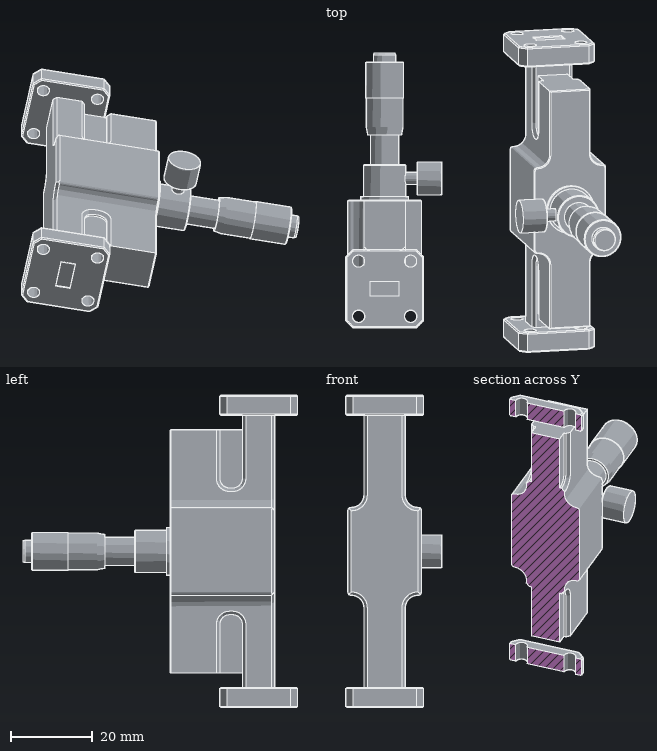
import cadquery as cq

OVERALL_HEIGHT = 76.2

FLANGE_SIZE = 19.05
FLANGE_THICKNESS = 4.9
FLANGE_CORNER = 1.75
FLANGE_EDGE = 0.3
BOLT_DIAMETER = 2.95
BOLT_SPACING_X = 12.7
BOLT_SPACING_Y = 13.46
PORT_WIDTH = 7.11
PORT_HEIGHT = 3.56
PORT_DEPTH = 0.3

ARM_WIDTH = 10.16
FRONT_Y = -3.96
ARM_BACK_Y = -FRONT_Y
BODY_BACK_Y = 21.65
PLATE_HEIGHT = 59.4
BLOCK_WIDTH = 18.0
BLOCK_HEIGHT = 21.5
COVE_RADIUS = 3.0
BLOCK_CORNER_RADIUS = 0.85
EDGE_CHAMFER = 0.85
BACK_CHAMFER = 0.25

POCKET_WIDTH = 5.5
POCKET_END_Z = 15.45
POCKET_CORNER_RADIUS = 2.4
POCKET_WALL = 0.5
POCKET_DEPTH = EDGE_CHAMFER + POCKET_WALL

SEAT_RADIUS = 5.85
SEAT_END_Y = 22.5
COLLAR_RADIUS = 5.2
COLLAR_END_Y = 30.25
SLEEVE_RADIUS = 3.5
THIMBLE_START_Y = 37.5
THIMBLE_NOSE_RADIUS = 4.15
THIMBLE_TAPER_END_Y = 39.35
THIMBLE_RADIUS = 4.5
GRIP_START_Y = 46.5
GRIP_RADIUS = 4.63
GRIP_END_Y = 55.35
CAP_RADIUS = 2.75
CAP_END_Y = 57.525
CAP_EDGE_LENGTH = 0.5
CAP_EDGE_DEPTH = 0.2
MICROMETER_CHAMFER = 0.2
SEAT_OVERLAP = 1.0

SCREW_Y = 26.9
SCREW_RADIUS = 1.52
KNOB_RADIUS = 4.05
KNOB_START_X = 7.85
KNOB_END_X = 13.975
KNOB_CHAMFER = 0.2
KNOB_EDGE_LENGTH = 0.45
KNOB_EDGE_DEPTH = 0.08

ARM_END_Z = (OVERALL_HEIGHT - FLANGE_THICKNESS) / 2
FLANGE_INNER_Z = OVERALL_HEIGHT / 2 - FLANGE_THICKNESS


def box_between(x_size, y_min, y_max, z_size):
    """Box centred on X and Z, spanning y_min to y_max."""
    return cq.Workplane("XY").box(x_size, y_max - y_min, z_size).translate((0, (y_min + y_max) / 2, 0))


def body_blank():
    """Extruded X-Z outline of the arm and the central block, with coves between them."""
    arm_x = ARM_WIDTH / 2
    block_x = BLOCK_WIDTH / 2
    block_z = BLOCK_HEIGHT / 2
    quarter = (
        cq.Workplane("XZ", origin=(0, FRONT_Y, 0))
        .lineTo(0, ARM_END_Z)
        .lineTo(arm_x, ARM_END_Z)
        .lineTo(arm_x, block_z + COVE_RADIUS)
        .radiusArc((arm_x + COVE_RADIUS, block_z), -COVE_RADIUS)
        .lineTo(block_x, block_z)
        .lineTo(block_x, 0)
        .close()
        .extrude(FRONT_Y - BODY_BACK_Y)
    )
    half = quarter.union(quarter.mirror("YZ"))
    return half.union(half.mirror("XY")).clean()


def pocket_outline(plane_x, margin):
    """Rounded slot outline in Y-Z, grown by margin, open toward +Z past the plate end."""
    y_min = ARM_BACK_Y - margin
    y_max = ARM_BACK_Y + POCKET_WIDTH + margin
    z_min = POCKET_END_Z - margin
    radius = POCKET_CORNER_RADIUS + margin
    return (
        cq.Workplane("YZ", origin=(plane_x, 0, 0))
        .moveTo(y_min, FLANGE_INNER_Z)
        .lineTo(y_min, z_min + radius)
        .radiusArc((y_min + radius, z_min), -radius)
        .lineTo(y_max - radius, z_min)
        .radiusArc((y_max, z_min + radius), -radius)
        .lineTo(y_max, FLANGE_INNER_Z)
        .close()
    )


def make_pocket():
    """Upper pocket on the +X side: straight wall at the floor, 45 degree flare at the mouth.

    It runs up to the flange, so the flare also bevels the back edge of the arm.
    """
    mouth_x = ARM_WIDTH / 2
    floor_x = mouth_x - POCKET_DEPTH
    wall = pocket_outline(floor_x, 0).extrude(POCKET_DEPTH)
    flare = cq.Workplane(
        cq.Solid.makeLoft(
            [
                pocket_outline(mouth_x - EDGE_CHAMFER, 0).val(),
                pocket_outline(mouth_x, EDGE_CHAMFER).val(),
            ],
            True,
        )
    )
    return wall.union(flare)


def make_body():
    """Arm, plate and block in one piece, with the arm standing free beyond the plate ends."""
    body = body_blank().faces("<Y").edges().chamfer(EDGE_CHAMFER)
    body = body.faces("<X or >X").edges("|Y").fillet(BLOCK_CORNER_RADIUS)

    gap_height = ARM_END_Z - PLATE_HEIGHT / 2
    gap = box_between(BLOCK_WIDTH, ARM_BACK_Y, BODY_BACK_Y, gap_height)
    gap_z = PLATE_HEIGHT / 2 + gap_height / 2
    for side in (-1, 1):
        body = body.cut(gap.translate((0, 0, side * gap_z)))
    body = body.faces(">Y").edges().chamfer(BACK_CHAMFER)

    pocket = make_pocket()
    pockets = pocket.union(pocket.mirror("YZ"))
    return body.cut(pockets).cut(pockets.mirror("XY"))


def make_flange(side):
    """Flange at the upper (side = 1) or lower (side = -1) end of the arm."""
    center_z = side * ARM_END_Z
    flange = (
        cq.Workplane("XY")
        .box(FLANGE_SIZE, FLANGE_SIZE, FLANGE_THICKNESS)
        .edges("|Z")
        .chamfer(FLANGE_CORNER)
        .faces("<Z or >Z")
        .chamfer(FLANGE_EDGE)
        .faces(">Z")
        .workplane()
        .rarray(BOLT_SPACING_X, BOLT_SPACING_Y, 2, 2)
        .hole(BOLT_DIAMETER)
    )
    port = cq.Workplane("XY").box(PORT_WIDTH, PORT_HEIGHT, 2 * PORT_DEPTH)
    flange = flange.cut(port.translate((0, 0, side * FLANGE_THICKNESS / 2)))
    return flange.translate((0, 0, center_z))


def make_micrometer():
    """Micrometer head turned about the Y axis, seated on the back of the body."""
    profile = (
        cq.Workplane("XY")
        .moveTo(0, BODY_BACK_Y - SEAT_OVERLAP)
        .lineTo(SEAT_RADIUS, BODY_BACK_Y - SEAT_OVERLAP)
        .lineTo(SEAT_RADIUS, SEAT_END_Y)
        .lineTo(COLLAR_RADIUS, SEAT_END_Y)
        .lineTo(COLLAR_RADIUS, COLLAR_END_Y - MICROMETER_CHAMFER)
        .lineTo(COLLAR_RADIUS - MICROMETER_CHAMFER, COLLAR_END_Y)
        .lineTo(SLEEVE_RADIUS, COLLAR_END_Y)
        .lineTo(SLEEVE_RADIUS, THIMBLE_START_Y)
        .lineTo(THIMBLE_NOSE_RADIUS, THIMBLE_START_Y)
        .lineTo(THIMBLE_RADIUS, THIMBLE_TAPER_END_Y)
        .lineTo(THIMBLE_RADIUS, GRIP_START_Y)
        .lineTo(GRIP_RADIUS, GRIP_START_Y)
        .lineTo(GRIP_RADIUS, GRIP_END_Y - MICROMETER_CHAMFER)
        .lineTo(GRIP_RADIUS - MICROMETER_CHAMFER, GRIP_END_Y)
        .lineTo(CAP_RADIUS, GRIP_END_Y)
        .lineTo(CAP_RADIUS, CAP_END_Y - CAP_EDGE_LENGTH)
        .lineTo(CAP_RADIUS - CAP_EDGE_DEPTH, CAP_END_Y)
        .lineTo(0, CAP_END_Y)
        .close()
    )
    return profile.revolve(360, (0, 0, 0), (0, 1, 0))


def make_clamp_screw():
    """Clamp screw turned about an X axis, from the collar centre out to its knob."""
    profile = (
        cq.Workplane("XY", origin=(0, SCREW_Y, 0))
        .lineTo(0, SCREW_RADIUS)
        .lineTo(KNOB_START_X, SCREW_RADIUS)
        .lineTo(KNOB_START_X, KNOB_RADIUS - KNOB_CHAMFER)
        .lineTo(KNOB_START_X + KNOB_CHAMFER, KNOB_RADIUS)
        .lineTo(KNOB_END_X - KNOB_EDGE_LENGTH, KNOB_RADIUS)
        .lineTo(KNOB_END_X, KNOB_RADIUS - KNOB_EDGE_DEPTH)
        .lineTo(KNOB_END_X, 0)
        .close()
    )
    return profile.revolve(360, (0, 0, 0), (1, 0, 0))


result = make_body()
for end in (-1, 1):
    result = result.union(make_flange(end))
result = result.union(make_micrometer()).union(make_clamp_screw())